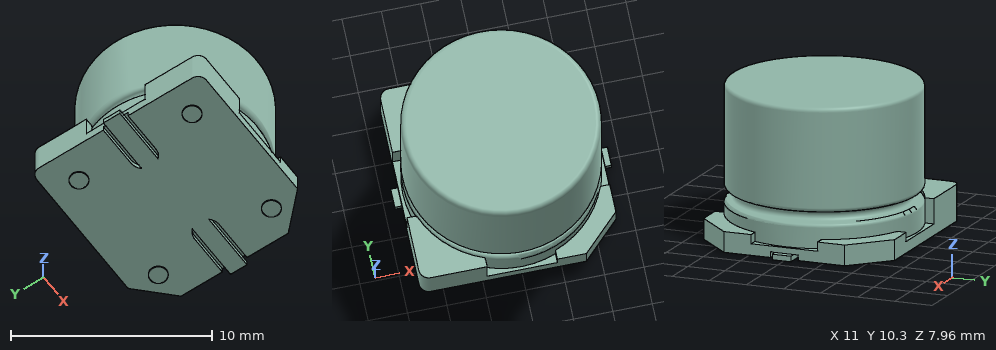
import cadquery as cq

base_size = 10.3
base_height = 1.9
base_corner_radius = 0.51
base_chamfer = 1.89
low_corner_height = 1.08
notch_width = 3.56
notch_floor = 0.6

can_radius = 4.99
can_top = 7.88
can_top_fillet = 0.28
groove_center = 2.17
groove_radius = 0.28
groove_edge_radius = 0.22

lead_span = 11.0
lead_width = 1.0
lead_thickness = 0.3
slot_width = 1.5
slot_inner_end = 2.0

foot_radius = 0.5
foot_height = 0.08
foot_offset = 3.43

half_base = base_size / 2


def make_base():
    """Square plate with two rounded -X corners and two chamfered, lower +X corners, open in the middle."""
    base = cq.Workplane("XY").box(base_size, base_size, base_height, centered=(True, True, False))
    base = base.edges("|Z and <X").fillet(base_corner_radius)
    base = base.edges("|Z and >X").chamfer(base_chamfer)

    low_corners = (
        cq.Workplane("XY", origin=(notch_width / 2, 0, low_corner_height))
        .box(half_base, base_size, base_height, centered=(False, True, False))
    )
    base = base.cut(low_corners)

    for length, width in ((base_size, notch_width), (notch_width, base_size)):
        notch = (
            cq.Workplane("XY", origin=(0, 0, notch_floor))
            .box(length, width, base_height, centered=(True, True, False))
        )
        base = base.cut(notch)

    seat = cq.Workplane("XY", origin=(0, 0, notch_floor)).circle(can_radius).extrude(base_height)
    return base.cut(seat)


def make_can():
    """Cylinder with a rounded top edge and a half-round groove with rounded lips."""
    lip_center_radius = can_radius - groove_edge_radius
    groove_half_height = groove_radius + groove_edge_radius
    lip_bend = groove_edge_radius * 0.5**0.5
    return (
        cq.Workplane("XZ")
        .moveTo(0, notch_floor)
        .lineTo(can_radius, notch_floor)
        .lineTo(can_radius, groove_center - groove_half_height)
        .threePointArc(
            (lip_center_radius + lip_bend, groove_center - groove_half_height + lip_bend),
            (lip_center_radius, groove_center - groove_radius),
        )
        .threePointArc(
            (lip_center_radius - groove_radius, groove_center),
            (lip_center_radius, groove_center + groove_radius),
        )
        .threePointArc(
            (lip_center_radius + lip_bend, groove_center + groove_half_height - lip_bend),
            (can_radius, groove_center + groove_half_height),
        )
        .lineTo(can_radius, can_top)
        .lineTo(0, can_top)
        .close()
        .revolve(360, (0, 0, 0), (0, 1, 0))
        .faces(">Z")
        .edges()
        .fillet(can_top_fillet)
    )


def make_slot(side):
    """Open slot in the underside, running in from one X side to a round inner end."""
    end_center = side * (slot_inner_end + slot_width / 2)
    straight = (
        cq.Workplane("XY")
        .center((end_center + side * half_base) / 2, 0)
        .rect(half_base - abs(end_center), slot_width)
        .extrude(lead_thickness)
    )
    round_end = cq.Workplane("XY").center(end_center, 0).circle(slot_width / 2).extrude(lead_thickness)
    return straight.union(round_end)


def make_lead(side):
    """Flat lead against the slot ceiling, reaching out past the base."""
    length = lead_span / 2 - slot_inner_end
    center = side * (lead_span / 2 - length / 2)
    return cq.Workplane("XY").center(center, 0).rect(length, lead_width).extrude(lead_thickness)


def make_feet():
    """Four thin round pads under the base."""
    return (
        cq.Workplane("XY")
        .rect(2 * foot_offset, 2 * foot_offset, forConstruction=True)
        .vertices()
        .circle(foot_radius)
        .extrude(-foot_height)
    )


result = make_base().union(make_can())
for side in (-1, 1):
    result = result.cut(make_slot(side)).union(make_lead(side))
result = result.union(make_feet())